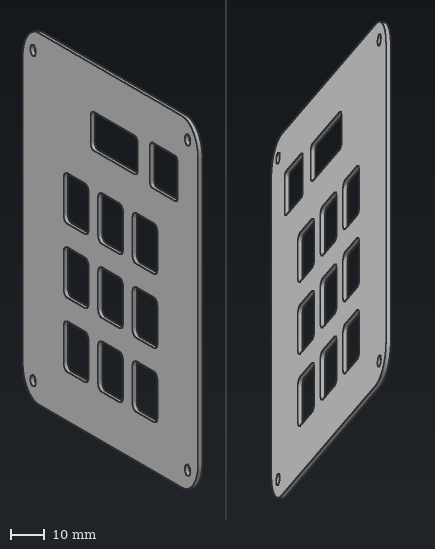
import cadquery as cq

plate_width = 110.0
plate_height = 116.0
plate_thickness = 1.5
plate_corner_radius = 10.0

mount_hole_diameter = 3.4
mount_hole_inset = 6.5

key_size = 15.7
key_corner_radius = 2.3
key_columns = 3
key_rows = 3
key_pitch_x = 21.6
key_pitch_z = 23.1
key_grid_center_x = 0.1
key_grid_center_z = -11.6

window_center_z = 37.25
display_width = 29.6
display_height = 12.0
display_center_x = 2.4
display_corner_radius = 2.0
side_window_width = 17.2
side_window_height = 14.1
side_window_center_x = 33.5
side_window_corner_radius = 1.5


def rounded_block(width, height, corner_radius, center_x=0.0, center_z=0.0):
    """Block of plate thickness, centred on Y = 0, with its four corners rounded."""
    block = cq.Workplane("XY").box(width, plate_thickness, height)
    return block.edges("|Y").fillet(corner_radius).translate((center_x, 0, center_z))


def cut_mount_holes(plate):
    spacing_x = plate_width - 2 * mount_hole_inset
    spacing_z = plate_height - 2 * mount_hole_inset
    return (
        plate.faces("<Y")
        .workplane(centerOption="CenterOfBoundBox")
        .rect(spacing_x, spacing_z, forConstruction=True)
        .vertices()
        .hole(mount_hole_diameter)
    )


def cut_key_openings(plate):
    for column in range(key_columns):
        center_x = key_grid_center_x + (column - (key_columns - 1) / 2) * key_pitch_x
        for row in range(key_rows):
            center_z = key_grid_center_z + (row - (key_rows - 1) / 2) * key_pitch_z
            plate = plate.cut(rounded_block(key_size, key_size, key_corner_radius, center_x, center_z))
    return plate


def cut_windows(plate):
    display = rounded_block(
        display_width, display_height, display_corner_radius, display_center_x, window_center_z
    )
    side_window = rounded_block(
        side_window_width,
        side_window_height,
        side_window_corner_radius,
        side_window_center_x,
        window_center_z,
    )
    return plate.cut(display).cut(side_window)


plate = rounded_block(plate_width, plate_height, plate_corner_radius)
plate = cut_mount_holes(plate)
plate = cut_key_openings(plate)
result = cut_windows(plate)